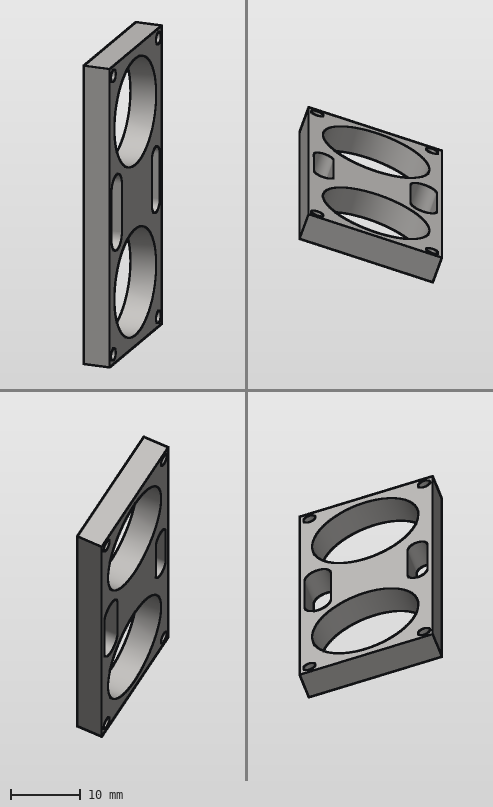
import cadquery as cq

thickness = 4.0
width = 20.3
height = 45.5
back_face = (-thickness / 2, 0, 0)

opening_diameter = 16.2
opening_spacing = 26.0
opening_y = -0.15

screw_diameter = 1.8
screw_spacing_z = 42.5
screw_left_y = 8.83
screw_right_y = -8.65

left_slot_length = 10.0
left_slot_width = 3.0
left_slot_y = 7.83
right_slot_length = 11.5
right_slot_width = 4.0
right_slot_y = -7.35


def round_cutters(points, diameter):
    """Cylinders through the plate at the given (y, z) points."""
    return cq.Workplane("YZ", origin=back_face).pushPoints(points).circle(diameter / 2).extrude(thickness)


def slot_cutter(y, length, slot_width):
    """Round-ended vertical slot through the plate, centred at mid-height."""
    return cq.Workplane("YZ", origin=back_face).center(y, 0).slot2D(length, slot_width, 90).extrude(thickness)


opening_points = [(opening_y, side * opening_spacing / 2) for side in (-1, 1)]
screw_points = [
    (y, side * screw_spacing_z / 2)
    for y in (screw_left_y, screw_right_y)
    for side in (-1, 1)
]

plate = cq.Workplane("XY").box(thickness, width, height)
plate = plate.cut(round_cutters(opening_points, opening_diameter))
plate = plate.cut(round_cutters(screw_points, screw_diameter))
plate = plate.cut(slot_cutter(left_slot_y, left_slot_length, left_slot_width))
plate = plate.cut(slot_cutter(right_slot_y, right_slot_length, right_slot_width))

result = plate